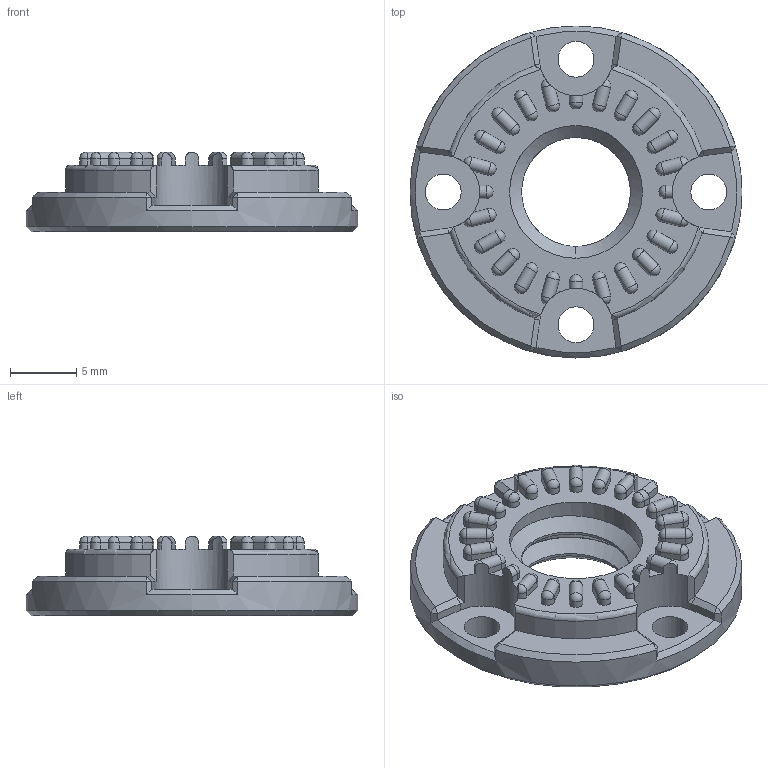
import cadquery as cq
import math

flange_radius = 12.5
flange_height = 3.0
hub_radius = 10.0
hub_height = 5.0
edge_break = 0.4

pocket_count = 4
pocket_radius = 2.75
pocket_floor = 2.0
screw_circle_radius = 10.0
screw_hole_diameter = 2.7

bore_radius = 5.0
thread_pitch = 2.0
thread_turns = 2
thread_depth = 0.9
thread_crest_width = 0.2
thread_root_width = 1.98
thread_embed = 0.02

peg_count = 24
peg_width = 1.0
peg_length = 2.5
peg_circle_radius = 7.5
peg_height = 1.0

cutter_margin = 1.0
tolerance = 0.05

flare_angle = math.asin(pocket_radius / (2 * screw_circle_radius))
corner_x = pocket_radius * math.cos(flare_angle)
corner_y = screw_circle_radius - pocket_radius * math.sin(flare_angle)


def around_axis(shape, count):
    """Copies of a shape, evenly spaced around the Z axis."""
    return [shape.rotate((0, 0, 0), (0, 0, 1), i * 360 / count) for i in range(count)]


def pocket_cutter():
    """Open-sided pocket on +Y: a round end, then straight walls that flare outwards."""
    outer_y = flange_radius + cutter_margin
    outer_x = corner_x + (outer_y - corner_y) * math.tan(flare_angle)
    return (
        cq.Workplane("XY", origin=(0, 0, pocket_floor))
        .moveTo(-outer_x, outer_y)
        .lineTo(-corner_x, corner_y)
        .threePointArc((0, screw_circle_radius - pocket_radius), (corner_x, corner_y))
        .lineTo(outer_x, outer_y)
        .close()
        .extrude(hub_height + peg_height)
    )


def cut_all(shape, cutters):
    for cutter in cutters:
        shape = shape.cut(cutter)
    return shape


def edges_at_radius(workplane, radius):
    """Edges whose middle lies at the given distance from the Z axis."""

    def from_axis(edge):
        middle = edge.positionAt(0.5)
        return math.hypot(middle.x, middle.y)

    return [edge for edge in workplane.edges().vals() if abs(from_axis(edge) - radius) < tolerance]


def flange(pockets):
    """Base disc with its rim and the pocket mouths chamfered."""
    disc = cut_all(cq.Workplane("XY").circle(flange_radius).extrude(flange_height), pockets)

    def is_seam(edge):
        return edge.geomType() == "LINE" and edge.Center().z < pocket_floor

    top_edges = disc.faces(">Z").edges().vals()
    rim_edges = [edge for edge in edges_at_radius(disc, flange_radius) if not is_seam(edge)]
    return disc.newObject(top_edges + rim_edges).chamfer(edge_break)


def hub(pockets):
    """Raised centre from the pocket floor up; it fills the flange's chamfer except at its corners."""
    height = hub_height - pocket_floor
    disc = cq.Workplane("XY", origin=(0, 0, pocket_floor)).circle(hub_radius).extrude(height)
    disc = cut_all(disc, pockets)
    disc = disc.newObject(edges_at_radius(disc.edges("|Z"), hub_radius)).chamfer(edge_break)
    top_rim = edges_at_radius(disc.faces(">Z"), hub_radius)
    return disc.newObject(top_rim).fillet(edge_break)


def thread_ridge():
    """Right-handed internal thread starting at -Y, rooted slightly inside the bore wall."""
    crest_radius = bore_radius - thread_depth
    root_radius = bore_radius + thread_embed
    profile = [
        (root_radius, -thread_root_width / 2),
        (crest_radius, -thread_crest_width / 2),
        (crest_radius, thread_crest_width / 2),
        (root_radius, thread_root_width / 2),
    ]
    helix = cq.Wire.makeHelix(thread_pitch, thread_pitch * thread_turns, bore_radius)
    ridge = cq.Workplane("XZ").polyline(profile).close().sweep(cq.Workplane(helix), isFrenet=True)
    return ridge.rotate((0, 0, 0), (0, 0, 1), -90)


def grip_peg():
    """Round-ended bar standing on the hub at +X, with a fully rounded top."""
    radius = peg_width / 2
    straight = peg_length - peg_width
    inner_x = peg_circle_radius - straight / 2
    outer_x = peg_circle_radius + straight / 2
    top_z = hub_height + peg_height - radius
    peg = (
        cq.Workplane("XY", origin=(peg_circle_radius, 0, hub_height))
        .slot2D(peg_length, peg_width)
        .extrude(top_z - hub_height)
    )
    rounded_bar = cq.Workplane("YZ", origin=(inner_x, 0, top_z)).circle(radius).extrude(straight)
    peg = peg.union(rounded_bar)
    for x in (inner_x, outer_x):
        peg = peg.union(cq.Workplane("XY", origin=(x, 0, top_z)).sphere(radius))
    return peg


def threaded_bore(body):
    body = body.cut(cq.Workplane("XY").circle(bore_radius).extrude(hub_height))
    below_base = cq.Workplane("XY").circle(flange_radius).extrude(-thread_pitch)
    return body.union(thread_ridge()).cut(below_base)


def screw_holes():
    return (
        cq.Workplane("XY")
        .polarArray(screw_circle_radius, 0, 360, pocket_count)
        .circle(screw_hole_diameter / 2)
        .extrude(flange_height)
    )


pockets = around_axis(pocket_cutter(), pocket_count)
body = threaded_bore(flange(pockets).union(hub(pockets)))
body = body.cut(screw_holes())

pegs = [cut_all(peg, pockets).val() for peg in around_axis(grip_peg(), peg_count)]
result = cq.Workplane(body.val().fuse(*pegs).clean())